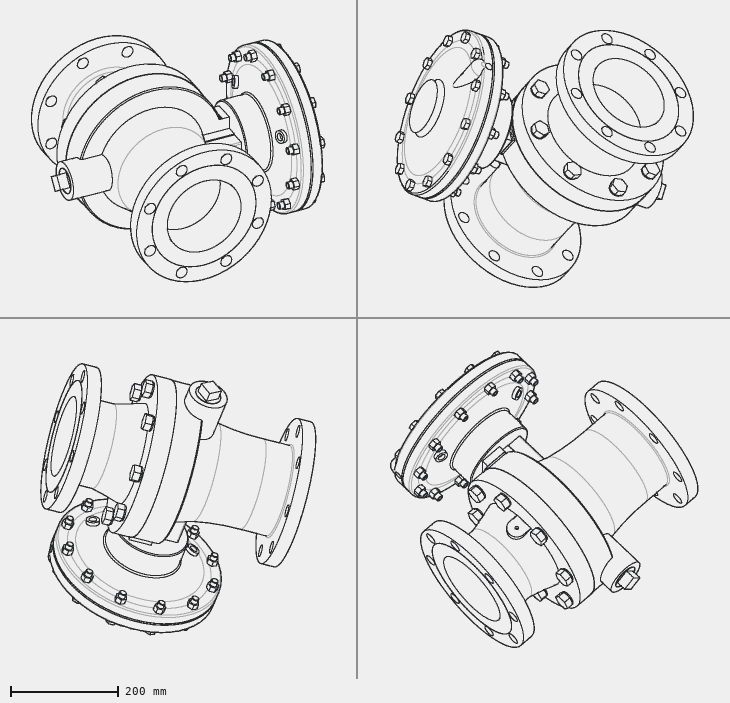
import cadquery as cq
import math


half_length = 224.0
flange_radius = 139.5
left_flange_thickness = 28.0
right_flange_thickness = 26.5
flange_bolt_circle = 120.5
flange_hole_radius = 11.0
flange_hole_count = 8
bore_radius = 76.5
bore_depth = 88.0
face_ring_radius = 107.5
face_step = 0.5

left_neck_radius = 81.5
left_neck_end = -147.5
left_root_fillet = 6.0
left_cone_radius = 97.0
left_cone_mid = (-119.5, 88.0)
body_left = -90.0
body_joint = -53.0
body_radius = 152.0
joint_step = 1.0
body_edge_chamfer = 2.5
shoulder_radius = 109.0
taper_end = 52.5
taper_radius = 95.0
right_curve_mid = (97.0, 88.5)
right_neck_start = 143.5
right_neck_radius = 87.0
right_root_fillet = 2.5

body_bolt_circle = 128.5
body_bolt_count = 8
body_head_corner_radius = 16.5
body_head_height = 14.0
body_washer_radius = 14.0
body_washer_height = 2.5
body_head_turn = 37.5

lug_radius = 19.0
lug_x = -109.0
lug_top = 96.5
lug_hole_radius = 3.0
lug_hole_depth = 7.5

trunnion_radius = 37.0
trunnion_end = -179.5
stem_recess_radius = 24.5
stem_recess_depth = 1.0
stem_square = 28.5
stem_square_turn = 35.0
stem_end = -197.5

bracket_half_width = 47.5
bracket_left = -44.0
bracket_base = 102.0
saddle_radius = 154.5
saddle_half_width = 48.5
saddle_left = -48.0
saddle_right = -1.5
rib_inner_end = 22.0
rib_outer_end = 52.5
rib_inner_half_width = 22.5
rib_outer_half_width = 20.5
rib_base = 76.5
rib_edge_fillet = 2.5

collar_bottom = 161.5
collar_top = 211.5
collar_radius = 73.5
collar_chamfer = 2.0
lower_dome_end = (76.5, 214.5)
casing_radius = 162.0
casing_bottom = 233.0
casing_top = 276.5
casing_edge_fillet = 3.0
seal_bottom = 252.0
seal_top = 255.5
seal_groove_depth = 0.5
rim_inner_radius = 140.5
dome_root_radius = 126.0
dome_root_rise = 3.5
lower_dome_mid = (102.0, 221.0)
upper_dome_mid = (97.0, 289.5)
hub_base_radius = 56.5
hub_base = 299.0
hub_neck = (52.5, 304.5)
hub_top_radius = 52.0
hub_top = 312.0

casing_bolt_count = 12
casing_bolt_circle = 146.5
casing_hex_corner_radius = 10.5
casing_head_turn = -15.0
casing_nut_turn = 15.0
casing_head_top = 285.5
casing_nut_bottom = 222.0
casing_stud_bottom = 212.5
casing_stud_radius = 6.5
casing_stud_chamfer = 1.0

port_boss_radius = 19.0
port_boss_y = 275.0
port_boss_inner_x = -76.5
port_boss_fillet = 14.0
vent_radius = 7.0
vent_y = 264.5
vent_depth = 20.5
plug_circle = 111.0
plug_angles = (24, 150)
plug_tilt = 18.0
plug_radius = 12.0
plug_bottom = 216.5
plug_hole_radius = 7.0
plug_hole_depth = 7.5


def rod_x(radius, start, end, y=0.0, z=0.0):
    """Cylinder along X from start to end."""
    return cq.Workplane("YZ", origin=(start, y, z)).circle(radius).extrude(end - start)


def rod_y(radius, start, end, x=0.0, z=0.0):
    """Cylinder along Y from start to end."""
    return cq.Workplane("XZ", origin=(x, start, z)).circle(radius).extrude(start - end)


def block(x_range, y_range, z_range):
    """Axis-aligned box between the given limits."""
    sizes = [high - low for low, high in (x_range, y_range, z_range)]
    corner = (x_range[0], y_range[0], z_range[0])
    return cq.Workplane("XY", origin=corner).box(*sizes, centered=False)


def valve_body():
    left_inner = -half_length + left_flange_thickness
    right_inner = half_length - right_flange_thickness
    profile = (
        cq.Workplane("XY")
        .moveTo(-half_length, 0)
        .lineTo(-half_length, face_ring_radius)
        .lineTo(-half_length + face_step, face_ring_radius)
        .lineTo(-half_length + face_step, flange_radius)
        .lineTo(left_inner, flange_radius)
        .lineTo(left_inner, left_neck_radius + left_root_fillet)
        .radiusArc((left_inner + left_root_fillet, left_neck_radius), -left_root_fillet)
        .lineTo(left_neck_end, left_neck_radius)
        .threePointArc(left_cone_mid, (body_left, left_cone_radius))
        .lineTo(body_left, body_radius)
        .lineTo(body_joint, body_radius)
        .lineTo(body_joint, body_radius - joint_step)
        .lineTo(-body_edge_chamfer, body_radius - joint_step)
        .lineTo(0, body_radius - joint_step - body_edge_chamfer)
        .lineTo(0, shoulder_radius)
        .lineTo(taper_end, taper_radius)
        .threePointArc(right_curve_mid, (right_neck_start, right_neck_radius))
        .lineTo(right_inner - right_root_fillet, right_neck_radius)
        .radiusArc((right_inner, right_neck_radius + right_root_fillet), -right_root_fillet)
        .lineTo(right_inner, flange_radius)
        .lineTo(half_length - face_step, flange_radius)
        .lineTo(half_length - face_step, face_ring_radius)
        .lineTo(half_length, face_ring_radius)
        .lineTo(half_length, 0)
        .close()
    )
    return profile.revolve(360, (0, 0, 0), (1, 0, 0))


def flange_cutters():
    """Bolt holes through both flanges and a blind bore from each end."""
    cutters = rod_x(bore_radius, -half_length, -half_length + bore_depth)
    cutters = cutters.add(rod_x(bore_radius, half_length - bore_depth, half_length))
    flange_ranges = (
        (-half_length, -half_length + left_flange_thickness),
        (half_length - right_flange_thickness, half_length),
    )
    step = 360 / flange_hole_count
    for index in range(flange_hole_count):
        angle = math.radians(step * (index + 0.5))
        y = flange_bolt_circle * math.cos(angle)
        z = flange_bolt_circle * math.sin(angle)
        for start, end in flange_ranges:
            cutters = cutters.add(rod_x(flange_hole_radius, start, end, y, z))
    return cutters.combine()


def body_bolt():
    """Hexagon head and washer on the left face of the body, on the +Y side."""
    washer = rod_x(body_washer_radius, body_left - body_washer_height, body_left, body_bolt_circle)
    head = (
        cq.Workplane("YZ", origin=(body_left - body_washer_height, body_bolt_circle, 0))
        .transformed(rotate=(0, 0, body_head_turn))
        .polygon(6, 2 * body_head_corner_radius)
        .extrude(-body_head_height)
    )
    return washer.union(head)


def lug():
    straight = block((lug_x, body_left), (-lug_radius, lug_radius), (bore_radius, lug_top))
    nose = cq.Workplane("XY", origin=(lug_x, 0, bore_radius)).circle(lug_radius)
    return straight.union(nose.extrude(lug_top - bore_radius))


def lug_hole():
    start = cq.Workplane("XY", origin=(lug_x, 0, lug_top))
    return start.circle(lug_hole_radius).extrude(-lug_hole_depth)


def lower_stem():
    recess_floor = trunnion_end + stem_recess_depth
    trunnion = rod_y(trunnion_radius, trunnion_end, -bore_radius)
    recess = rod_y(stem_recess_radius, trunnion_end, recess_floor)
    square = (
        cq.Workplane("XZ", origin=(0, recess_floor, 0))
        .transformed(rotate=(0, 0, stem_square_turn))
        .rect(stem_square, stem_square)
        .extrude(recess_floor - stem_end)
    )
    return trunnion.cut(recess).union(square)


def bracket():
    """Block on a thin saddle over the body rim, with a stepped rib on its +X side."""
    post_width = (-bracket_half_width, bracket_half_width)
    post = block((bracket_left, 0), (bracket_base, collar_bottom), post_width)
    saddle_x = (saddle_left, saddle_right)
    saddle = rod_x(saddle_radius, *saddle_x)
    saddle_width = (-saddle_half_width, saddle_half_width)
    saddle = saddle.intersect(block(saddle_x, (bracket_base, saddle_radius), saddle_width))
    rib_y = (rib_base, collar_bottom)
    inner = block((0, rib_inner_end), rib_y, (-rib_inner_half_width, rib_inner_half_width))
    outer = block((0, rib_outer_end), rib_y, (-rib_outer_half_width, rib_outer_half_width))
    outer = outer.edges("|Y and >X").fillet(rib_edge_fillet)
    return post.union(saddle).union(inner).union(outer)


def actuator_casing():
    seal_radius = casing_radius - seal_groove_depth
    fillet = casing_edge_fillet
    profile = (
        cq.Workplane("XY")
        .moveTo(0, collar_bottom)
        .lineTo(collar_radius - collar_chamfer, collar_bottom)
        .lineTo(collar_radius, collar_bottom + collar_chamfer)
        .lineTo(collar_radius, collar_top)
        .lineTo(*lower_dome_end)
        .threePointArc(lower_dome_mid, (dome_root_radius, casing_bottom - dome_root_rise))
        .lineTo(rim_inner_radius, casing_bottom)
        .lineTo(casing_radius - fillet, casing_bottom)
        .radiusArc((casing_radius, casing_bottom + fillet), -fillet)
        .lineTo(casing_radius, seal_bottom)
        .lineTo(seal_radius, seal_bottom)
        .lineTo(seal_radius, seal_top)
        .lineTo(casing_radius, seal_top)
        .lineTo(casing_radius, casing_top - fillet)
        .radiusArc((casing_radius - fillet, casing_top), -fillet)
        .lineTo(rim_inner_radius, casing_top)
        .lineTo(dome_root_radius, casing_top + dome_root_rise)
        .threePointArc(upper_dome_mid, (hub_base_radius, hub_base))
        .threePointArc(hub_neck, (hub_top_radius, hub_top))
        .lineTo(0, hub_top)
        .close()
    )
    return profile.revolve(360, (0, 0, 0), (0, 1, 0))


def casing_hexagon(top, bottom, turn):
    """Hexagon along Y at the casing bolt circle, turned about its own axis."""
    return (
        cq.Workplane("XZ", origin=(casing_bolt_circle, top, 0))
        .transformed(rotate=(0, 0, turn))
        .polygon(6, 2 * casing_hex_corner_radius)
        .extrude(top - bottom)
    )


def casing_bolt():
    """Bolt head above the casing rim, nut and stud end below it, on the +X side."""
    head = casing_hexagon(casing_head_top, seal_top, casing_head_turn)
    nut = casing_hexagon(seal_bottom, casing_nut_bottom, casing_nut_turn)
    stud = rod_y(casing_stud_radius, casing_stud_bottom, seal_top, casing_bolt_circle)
    return head.union(nut).union(stud.faces("<Y").chamfer(casing_stud_chamfer))


def port_boss():
    """Round-nosed boss lying radially on the upper rim, on the -X side."""
    boss = rod_x(port_boss_radius, -casing_radius, port_boss_inner_x, port_boss_y)
    boss = boss.faces("<X").edges().fillet(port_boss_fillet)
    above_rim = block(
        (-casing_radius, port_boss_inner_x),
        (seal_top, hub_base),
        (-port_boss_radius, port_boss_radius),
    )
    return boss.intersect(above_rim)


def plug(angle):
    """Drilled round boss on the lower dome, leaning outward to stand square to it."""
    boss = rod_y(plug_radius, plug_bottom, casing_bottom, plug_circle)
    hole = rod_y(plug_hole_radius, plug_bottom, plug_bottom + plug_hole_depth, plug_circle)
    pivot = (plug_circle, plug_bottom, 0)
    pivot_end = (plug_circle, plug_bottom, 1)
    leaning = boss.cut(hole).rotate(pivot, pivot_end, plug_tilt)
    return leaning.rotate((0, 0, 0), (0, 1, 0), -angle)


def ring_of(feature, count, axis):
    """Copies of a feature spread evenly about an axis, starting half a step round."""
    step = 360 / count
    return [feature.rotate((0, 0, 0), axis, step * (index + 0.5)) for index in range(count)]


valve = valve_body().union(lower_stem()).union(lug()).union(bracket())
for bolt in ring_of(body_bolt(), body_bolt_count, (1, 0, 0)):
    valve = valve.union(bolt)
valve = valve.cut(flange_cutters()).cut(lug_hole())

actuator = actuator_casing().union(port_boss())
for bolt in ring_of(casing_bolt(), casing_bolt_count, (0, 1, 0)):
    actuator = actuator.union(bolt)
for plug_angle in plug_angles:
    actuator = actuator.union(plug(plug_angle))
actuator = actuator.cut(rod_x(vent_radius, -casing_radius, -casing_radius + vent_depth, vent_y))

result = valve.union(actuator)